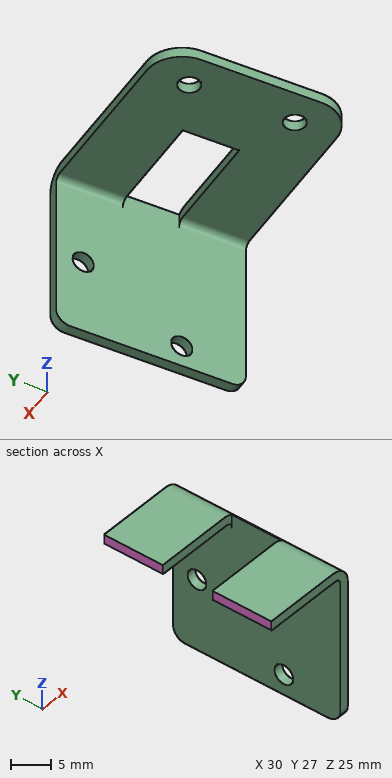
import cadquery as cq

length = 30.0
width = 27.0
height = 25.0
thickness = 1.5

outer_bend_radius = 3.0
inner_bend_radius = 1.0

flange_corner_radius = 5.0
wall_corner_radius = 2.0

hole_diameter = 3.0
flange_hole_x = 4.95
flange_hole_spacing = 15.0
wall_hole_depths = [(9.63, 13.75), (-4.38, 21.75)]

window_start_x = 13.0
window_width = 8.0

wall_inner_x = length - thickness
flange_bottom_z = height - thickness


def bent_sheet():
    """Horizontal flange and vertical wall, with a rounded bend between them."""
    profile = (
        cq.Workplane("XZ")
        .moveTo(0, height)
        .lineTo(length, height)
        .lineTo(length, 0)
        .lineTo(wall_inner_x, 0)
        .lineTo(wall_inner_x, flange_bottom_z)
        .lineTo(0, flange_bottom_z)
        .close()
    )
    sheet = profile.extrude(width / 2, both=True)
    sheet = sheet.faces(">X").edges(">Z").fillet(outer_bend_radius)
    inner_corner = cq.selectors.NearestToPointSelector((wall_inner_x, 0, flange_bottom_z))
    return sheet.edges(inner_corner).fillet(inner_bend_radius)


def flange_holes():
    """Pair of vertical holes near the free end of the flange."""
    half_spacing = flange_hole_spacing / 2
    return (
        cq.Workplane("XY", origin=(0, 0, flange_bottom_z))
        .pushPoints([(flange_hole_x, -half_spacing), (flange_hole_x, half_spacing)])
        .circle(hole_diameter / 2)
        .extrude(thickness)
    )


def wall_holes():
    """Two staggered horizontal holes through the wall."""
    centers = [(y, height - depth) for y, depth in wall_hole_depths]
    return (
        cq.Workplane("YZ", origin=(wall_inner_x, 0, 0))
        .pushPoints(centers)
        .circle(hole_diameter / 2)
        .extrude(thickness)
    )


def window():
    """Opening through the flange and the inside of the bend."""
    return cq.Workplane("XY").box(
        wall_inner_x - window_start_x, window_width, height, centered=(False, True, False)
    ).translate((window_start_x, 0, 0))


result = bent_sheet()
result = result.edges("|Z and <X").fillet(flange_corner_radius)
result = result.edges("|X and <Z").fillet(wall_corner_radius)
result = result.cut(flange_holes()).cut(wall_holes()).cut(window())